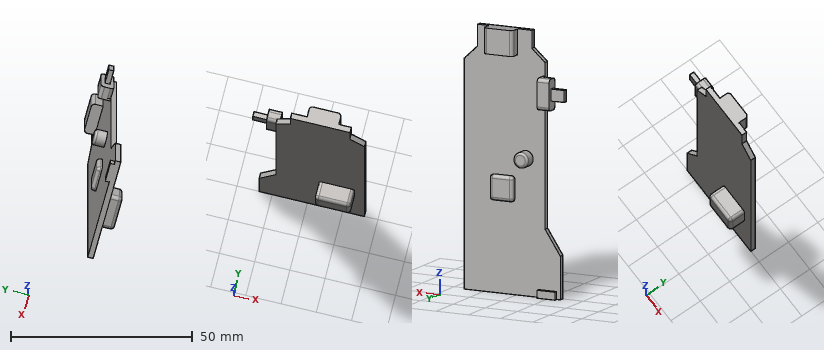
import cadquery as cq

board_width = 29.9
board_height = 75.15
board_thickness = 1.6
board_waist_left = 4.7
board_outline = [
    (0, 0),
    (board_width, 0),
    (board_width, 65.2),
    (25.8, 69.0),
    (25.8, board_height),
    (8.9, board_height),
    (8.9, 70.1),
    (board_waist_left, 66.5),
    (board_waist_left, 19.5),
    (0, 12.3),
]
edge_radius = 1.0

block_width, block_depth, block_height = 10.0, 5.0, 6.9
block_left, block_bottom = 17.05, 15.9

switch_width, switch_depth, switch_height = 3.7, 3.6, 8.95
switch_left, switch_bottom = 1.65, 53.7
lever_length, lever_depth, lever_height = 4.1, 1.4, 3.4

connector_width, connector_depth, connector_height = 9.0, 3.15, 7.3
connector_left = 13.2

button_diameter, button_depth = 4.4, 3.4
button_x, button_z = 10.7, 38.85
button_edge_radius = 0.7

chip_side, chip_depth = 7.3, 1.4
chip_bottom = 26.2

tab_width, tab_depth, tab_height = 5.5, 1.1, 2.25
tab_left = 1.1


def box_at(left, front, bottom, width, depth, height):
    """Box placed by its lowest X, Y and Z."""
    return cq.Workplane("XY").box(width, depth, height, centered=False).translate((left, front, bottom))


def make_board():
    return cq.Workplane("XZ").polyline(board_outline).close().extrude(-board_thickness)


def make_block():
    block = box_at(block_left, -block_depth, block_bottom, block_width, block_depth, block_height)
    return block.edges("|Y or <Y").fillet(edge_radius)


def make_switch():
    body = box_at(switch_left, board_thickness, switch_bottom, switch_width, switch_depth, switch_height)
    body = body.edges("|X").fillet(edge_radius)
    lever = box_at(
        switch_left - lever_length,
        board_thickness + (switch_depth - lever_depth) / 2,
        switch_bottom + (switch_height - lever_height) / 2,
        lever_length,
        lever_depth,
        lever_height,
    )
    foot = box_at(
        board_waist_left,
        board_thickness,
        switch_bottom,
        switch_left + switch_width - board_waist_left,
        edge_radius,
        switch_height,
    )
    return body.union(foot).union(lever)


def make_connector():
    bottom = board_height - connector_height
    shell = box_at(connector_left, board_thickness, bottom, connector_width, connector_depth, connector_height)
    return shell.edges("|Z and >Y").fillet(edge_radius)


def make_button():
    button = cq.Workplane("XZ", origin=(button_x, board_thickness, button_z))
    button = button.circle(button_diameter / 2).extrude(-button_depth)
    return button.edges(">Y").fillet(button_edge_radius)


def make_chip():
    left = connector_left + (connector_width - chip_side) / 2
    chip = box_at(left, board_thickness, chip_bottom, chip_side, chip_depth, chip_side)
    return chip.edges("|Y or >Y").fillet(edge_radius)


def make_tab():
    return box_at(tab_left, board_thickness, 0, tab_width, tab_depth, tab_height)


result = make_board()
for component in (
    make_block(),
    make_switch(),
    make_connector(),
    make_button(),
    make_chip(),
    make_tab(),
):
    result = result.union(component)